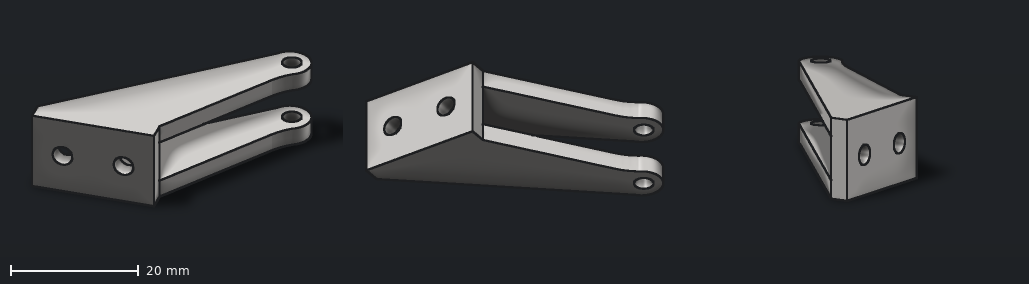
import cadquery as cq
import math

length_x = 37.28
depth_y = 30.4
height_z = 13.0

base_width = 20.02
wall = 3.0

tip_radius = 3.43
tip_x = length_x - tip_radius
tip_y = depth_y - tip_radius
tip_start_y = 29.08
tip_end_x = 35.35
neck_x = 32.75
neck_y = 21.25

pin_diameter = 3.05
pin_x = 34.15
pin_y = 27.15
screw_diameter = 3.2
screw_spacing = base_width / 2


def tip_offset(distance):
    """Distance along one axis to the tip circle, given the distance along the other."""
    return math.sqrt(tip_radius**2 - distance**2)


def make_side_profile():
    """Arm outline including the base plate's edge, extruded over the full height."""
    tip_start = (tip_x - tip_offset(tip_start_y - tip_y), tip_start_y)
    tip_end = (tip_end_x, tip_y - tip_offset(tip_end_x - tip_x))
    diagonal = tip_radius / math.sqrt(2)
    return (
        cq.Workplane("XY")
        .lineTo(base_width, 0)
        .lineTo(base_width, wall)
        .lineTo(neck_x, neck_y)
        .tangentArcPoint(tip_end, relative=False)
        .threePointArc((tip_x + diagonal, tip_y + diagonal), tip_start)
        .lineTo(0, wall)
        .close()
        .extrude(height_z)
    )


def make_arm_gap():
    """Space between the arms, open everywhere behind the base plate."""
    return cq.Workplane("XY").box(
        length_x, depth_y, height_z - 2 * wall, centered=False
    ).translate((0, wall, wall))


def make_pin_hole():
    return cq.Workplane("XY").center(pin_x, pin_y).circle(pin_diameter / 2).extrude(height_z)


def make_screw_holes():
    """Two holes through the base plate, symmetric about its centre."""
    return (
        cq.Workplane("XZ", origin=(base_width / 2, 0, height_z / 2))
        .rarray(screw_spacing, 0.37, 2, 1)
        .circle(screw_diameter / 2)
        .extrude(-wall)
    )


result = make_side_profile().cut(make_arm_gap()).cut(make_pin_hole()).cut(make_screw_holes())